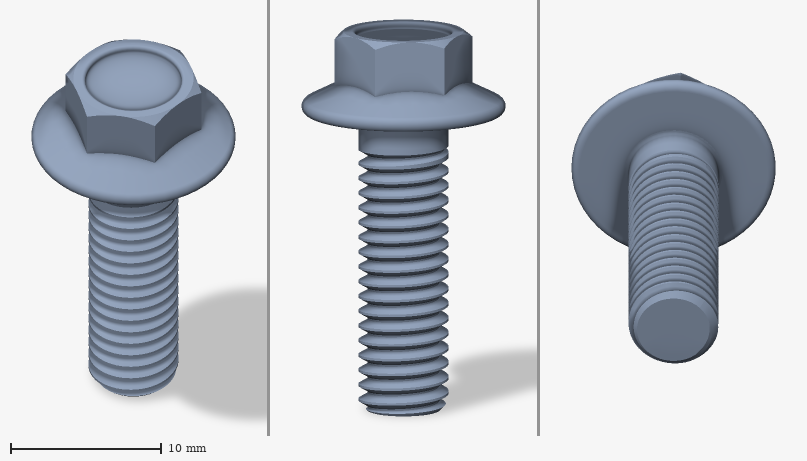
import cadquery as cq
import math

total_height = 25.63
shank_length = 20.05
shank_diameter = 6.0
underhead_fillet = 0.25

hex_across_flats = 8.0
hex_corner_drop = 0.45
recess_diameter = 6.4
recess_depth = 0.45
recess_lip_radius = 0.23
recess_floor_radius = 0.13

flange_diameter = 13.58
flange_rim_radius = 0.5
flange_slope = math.radians(27)
inner_overlap = 0.25

pitch = 1.0
thread_depth = 0.62
root_flat = pitch / 8
flank_angle = math.radians(30)
first_groove_height = 0.55
thread_turns = 19.5
fade_turns = 0.75
tip_chamfer = 0.56
cutter_margin = 0.08

shank_radius = shank_diameter / 2
hex_corner_radius = hex_across_flats / math.sqrt(3)
shank_seam_angle = 100
thread_start = first_groove_height - 2 * pitch


def make_shank():
    return (
        cq.Workplane("XY")
        .circle(shank_radius)
        .extrude(shank_length)
        .faces("<Z")
        .chamfer(tip_chamfer)
        .rotate((0, 0, 0), (0, 0, 1), shank_seam_angle)
    )


def make_flange():
    """Revolve the flange, including the fillet that meets the shank."""
    rim_x = flange_diameter / 2 - flange_rim_radius
    rim_z = shank_length + flange_rim_radius

    def rim_point(angle):
        return (
            rim_x + flange_rim_radius * math.cos(angle),
            rim_z + flange_rim_radius * math.sin(angle),
        )

    cone_start_angle = math.pi / 2 - flange_slope
    cone_start = rim_point(cone_start_angle)
    inner_radius = hex_across_flats / 2 - inner_overlap
    inner_height = cone_start[1] + (cone_start[0] - inner_radius) * math.tan(flange_slope)
    fillet_mid_offset = underhead_fillet * (1 - math.sqrt(0.5))
    profile = (
        cq.Workplane("XZ")
        .moveTo(0, shank_length - underhead_fillet)
        .lineTo(shank_radius, shank_length - underhead_fillet)
        .threePointArc(
            (shank_radius + fillet_mid_offset, shank_length - fillet_mid_offset),
            (shank_radius + underhead_fillet, shank_length),
        )
        .lineTo(rim_x, shank_length)
        .threePointArc(rim_point(0), cone_start)
        .lineTo(inner_radius, inner_height)
        .lineTo(0, inner_height)
        .close()
    )
    return profile.revolve(360, (0, 0, 0), (0, 1, 0))


def make_hex_head():
    """Hexagon with corners on X, bevelled by a cone that touches its flats at the top."""
    base_height = shank_length + flange_rim_radius
    hexagon = (
        cq.Workplane("XY")
        .workplane(offset=base_height)
        .polygon(6, 2 * hex_corner_radius)
        .extrude(total_height - base_height)
    )
    bevel_envelope = (
        cq.Workplane("XZ")
        .moveTo(0, base_height)
        .lineTo(hex_corner_radius, base_height)
        .lineTo(hex_corner_radius, total_height - hex_corner_drop)
        .lineTo(hex_across_flats / 2, total_height)
        .lineTo(0, total_height)
        .close()
        .revolve(360, (0, 0, 0), (0, 1, 0))
    )
    return hexagon.intersect(bevel_envelope)


def make_recess():
    """Shallow round pocket with a rounded lip and a rounded floor corner."""
    radius = recess_diameter / 2
    floor = total_height - recess_depth
    return (
        cq.Workplane("XZ")
        .moveTo(0, floor)
        .lineTo(radius - recess_floor_radius, floor)
        .radiusArc((radius, floor + recess_floor_radius), -recess_floor_radius)
        .lineTo(radius, total_height - recess_lip_radius)
        .radiusArc((radius + recess_lip_radius, total_height), recess_lip_radius)
        .lineTo(0, total_height)
        .close()
        .revolve(360, (0, 0, 0), (0, 1, 0))
    )


def make_groove(turns, radial_rise):
    """Helical groove cutter starting on +X at Z = 0, its section moving outwards by radial_rise."""
    root_radius = shank_radius - thread_depth
    outer_radius = shank_radius + cutter_margin
    root_half = root_flat / 2
    outer_half = root_half + (outer_radius - root_radius) * math.tan(flank_angle)
    section = [
        (root_radius, -root_half),
        (outer_radius, -outer_half),
        (outer_radius, outer_half),
        (root_radius, root_half),
    ]
    height = turns * pitch
    cone_angle = math.atan2(radial_rise, height)
    slant = 1 / math.cos(cone_angle)
    helix_angle = math.degrees(cone_angle) if radial_rise else 360

    def corner_helix(radius, start_height):
        helix = cq.Wire.makeHelix(pitch * slant, height * slant, radius, angle=helix_angle)
        return helix.translate(cq.Vector(0, 0, start_height)).Edges()[0]

    edges = [corner_helix(*corner) for corner in section]
    faces = [cq.Face.makeRuledSurface(edges[i - 1], edges[i]) for i in range(len(edges))]
    for position in (0, 1):
        corners = [edge.positionAt(position) for edge in edges]
        faces.append(cq.Face.makeFromWires(cq.Wire.makePolygon(corners, close=True)))
    return cq.Workplane(cq.Solid.makeSolid(cq.Shell.makeShell(faces)).fix())


def cut_thread(shank):
    """Cut the full-depth groove, then the last part that fades out into the plain shank."""
    full_turns = thread_turns - fade_turns
    full_groove = make_groove(full_turns, 0).translate((0, 0, thread_start))
    fading_groove = (
        make_groove(fade_turns, thread_depth)
        .rotate((0, 0, 0), (0, 0, 1), 360 * full_turns)
        .translate((0, 0, thread_start + full_turns * pitch))
    )
    return shank.cut(full_groove).cut(fading_groove)


threaded_shank = cut_thread(make_shank())
head = make_flange().union(make_hex_head()).cut(make_recess())
result = threaded_shank.union(head)